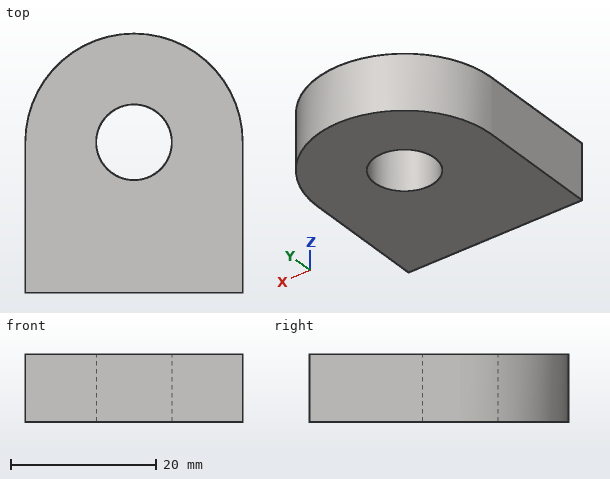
import cadquery as cq

width = 30.0
length = 35.74
thickness = 9.4
hole_diameter = 10.4

end_radius = width / 2
straight_length = length - end_radius


def lug_plate():
    """Flat plate with a square end at -Y and a rounded end at +Y."""
    return (
        cq.Workplane("XY")
        .moveTo(-end_radius, 0)
        .lineTo(-end_radius, -straight_length)
        .lineTo(end_radius, -straight_length)
        .lineTo(end_radius, 0)
        .threePointArc((0, end_radius), (-end_radius, 0))
        .close()
        .extrude(thickness)
    )


def pin_hole():
    """Cylinder that cuts the hole through the full thickness."""
    return cq.Workplane("XY").circle(hole_diameter / 2).extrude(thickness)


result = lug_plate().cut(pin_hole())